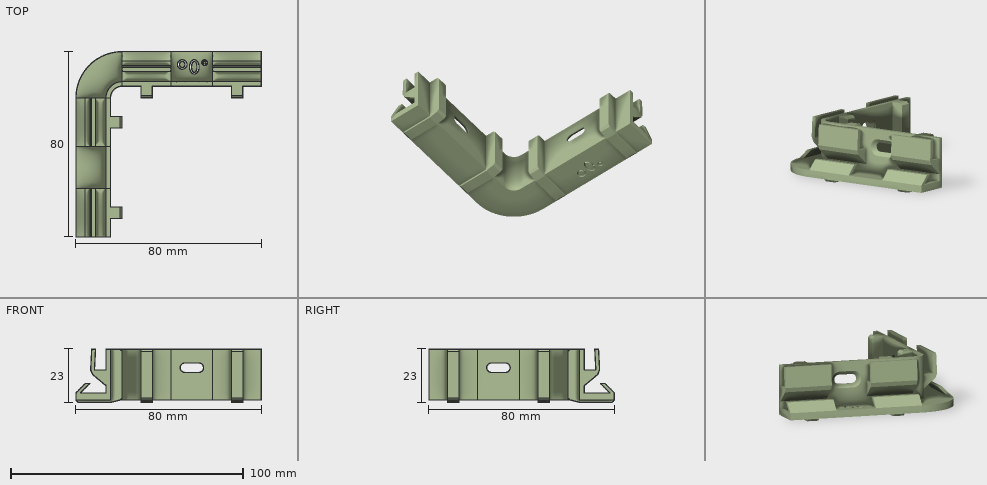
import cadquery as cq
import math


FLOOR_DEPTH = 15.0
FLOOR_THICKNESS = 3.15
WALL_THICKNESS = 2.0
HEIGHT = 22.0
WALL_FACE = FLOOR_DEPTH - WALL_THICKNESS

CORNER_SIZE = 20.0
CLIP_LENGTH = 21.0
PLATE_LENGTH = 18.0
PLATE_START = CORNER_SIZE + CLIP_LENGTH
CLIP_STARTS = (CORNER_SIZE, PLATE_START + PLATE_LENGTH)

LIP_RISE = 4.05
LIP_WIDTH = 2.0

HOOK_ROOT_Z = 6.2
HOOK_SLOPE = math.radians(40)
HOOK_SLOPE_END = 7.2
HOOK_FLOOR_Z = 13.07
HOOK_OUTER = 6.35
HOOK_LEAN = 0.45
HOOK_FOOT_WIDTH = 1.75

RIB_WIDTH = 5.0
RIB_DEPTH = CORNER_SIZE
RIB_FOOT = 1.0
RIB_CHAMFER = 1.0

SLOT_LENGTH = 10.0
SLOT_WIDTH = 4.0
SLOT_Z = 14.0
SLOT_COUNTERSINK = 1.65
COUNTERSINK_ANGLE = 45.0

CORES = (
    ((45.85, -5.6), (1.23, 1.36), (2.03, 1.97)),
    ((51.05, -6.65), (1.23, 2.43), (2.03, 3.03)),
    ((55.5, -4.8), (0.65, 0.65), (1.2, 1.2)),
)

DIAGONAL_NORMAL = cq.Vector(1, 1, 0)


def along_arm(start):
    """Sketch plane across the -Y arm: local x is depth, local y is Z, extrusion runs along the arm."""
    return cq.Workplane("XZ", origin=(0, -start, 0))


def mirrored(body):
    return cq.Workplane(body.val().mirror(DIAGONAL_NORMAL))


def angle_section(start, length):
    """Plain L of floor and wall."""
    return (
        along_arm(start)
        .moveTo(0, 0)
        .lineTo(FLOOR_DEPTH, 0)
        .lineTo(FLOOR_DEPTH, HEIGHT)
        .lineTo(WALL_FACE, HEIGHT)
        .lineTo(WALL_FACE, FLOOR_THICKNESS)
        .lineTo(0, FLOOR_THICKNESS)
        .close()
        .extrude(length)
    )


def lower_lip(start):
    lip_top = FLOOR_THICKNESS + LIP_RISE
    return (
        along_arm(start)
        .moveTo(0, FLOOR_THICKNESS)
        .lineTo(LIP_RISE, lip_top)
        .lineTo(LIP_RISE + LIP_WIDTH, lip_top)
        .lineTo(LIP_WIDTH, FLOOR_THICKNESS)
        .close()
        .extrude(CLIP_LENGTH)
    )


def upper_hook(start):
    slope_end_z = HOOK_ROOT_Z + (WALL_FACE - HOOK_SLOPE_END) * math.tan(HOOK_SLOPE)
    return (
        along_arm(start)
        .moveTo(WALL_FACE, HOOK_ROOT_Z)
        .lineTo(HOOK_SLOPE_END, slope_end_z)
        .lineTo(HOOK_OUTER, HOOK_FLOOR_Z)
        .lineTo(HOOK_OUTER + HOOK_LEAN, HEIGHT)
        .lineTo(HOOK_OUTER + HOOK_LEAN + HOOK_FOOT_WIDTH, HEIGHT)
        .lineTo(HOOK_OUTER + HOOK_FOOT_WIDTH, HOOK_FLOOR_Z)
        .lineTo(WALL_FACE, HOOK_FLOOR_Z)
        .close()
        .extrude(CLIP_LENGTH)
    )


def rib(start):
    """Upright bar behind the wall with a thin foot under the floor, centred on the clip."""
    rib_start = start + (CLIP_LENGTH - RIB_WIDTH) / 2
    return (
        along_arm(rib_start)
        .moveTo(0, 0)
        .lineTo(RIB_FOOT, -RIB_FOOT)
        .lineTo(FLOOR_DEPTH, -RIB_FOOT)
        .lineTo(RIB_DEPTH - RIB_CHAMFER, 0)
        .lineTo(RIB_DEPTH, RIB_CHAMFER)
        .lineTo(RIB_DEPTH, HEIGHT - RIB_CHAMFER)
        .lineTo(RIB_DEPTH - RIB_CHAMFER, HEIGHT)
        .lineTo(FLOOR_DEPTH, HEIGHT)
        .lineTo(FLOOR_DEPTH, 0)
        .close()
        .extrude(RIB_WIDTH)
    )


def make_clip(start):
    """Arm length with lower lip, upper hook and rib."""
    body = angle_section(start, CLIP_LENGTH)
    return body.union(lower_lip(start)).union(upper_hook(start)).union(rib(start))


def make_plate():
    """Plain arm length with a slot countersunk from the hook side of the wall."""
    slot_centre = -(PLATE_START + PLATE_LENGTH / 2)
    slot = (
        cq.Workplane("YZ", origin=(WALL_FACE, slot_centre, SLOT_Z))
        .slot2D(SLOT_LENGTH, SLOT_WIDTH)
        .extrude(WALL_THICKNESS)
    )
    mouth_growth = 2 * SLOT_COUNTERSINK
    mouth = (
        cq.Workplane("YZ", origin=(WALL_FACE, slot_centre, SLOT_Z))
        .slot2D(SLOT_LENGTH + mouth_growth, SLOT_WIDTH + mouth_growth)
        .extrude(SLOT_COUNTERSINK, taper=COUNTERSINK_ANGLE)
    )
    return angle_section(PLATE_START, PLATE_LENGTH).cut(slot).cut(mouth)


def quarter_disc(radius, height):
    """Quarter of a cylinder about the bend axis, on the outer side of the corner."""
    return (
        cq.Workplane("XY", origin=(CORNER_SIZE, -CORNER_SIZE, 0))
        .lineTo(-radius, 0)
        .radiusArc((0, radius), radius)
        .close()
        .extrude(height)
    )


def make_corner():
    """The plain arm section swept through the quarter turn."""
    floor = quarter_disc(CORNER_SIZE, FLOOR_THICKNESS)
    wall = quarter_disc(CORNER_SIZE - WALL_FACE, HEIGHT)
    inside = quarter_disc(CORNER_SIZE - FLOOR_DEPTH, HEIGHT)
    return floor.union(wall).cut(inside)


def floor_oval(centre, radii):
    """Upright oval prism through the floor thickness, with its X radius given first."""
    radius_x, radius_y = radii
    return cq.Workplane("XY").center(*centre).ellipse(radius_x, radius_y).extrude(FLOOR_THICKNESS)


corner = make_corner()
clips = []
for clip_start in CLIP_STARTS:
    clip = make_clip(clip_start)
    clips += [clip, mirrored(clip)]

side_plate = make_plate()
cored_plate = mirrored(side_plate)
cores = []
for core_centre, core_radii, opening_radii in CORES:
    cored_plate = cored_plate.cut(floor_oval(core_centre, opening_radii))
    cores.append(floor_oval(core_centre, core_radii))

bodies = [corner, *clips, side_plate, cored_plate, *cores]
result = cq.Compound.makeCompound([body.solids().val() for body in bodies])